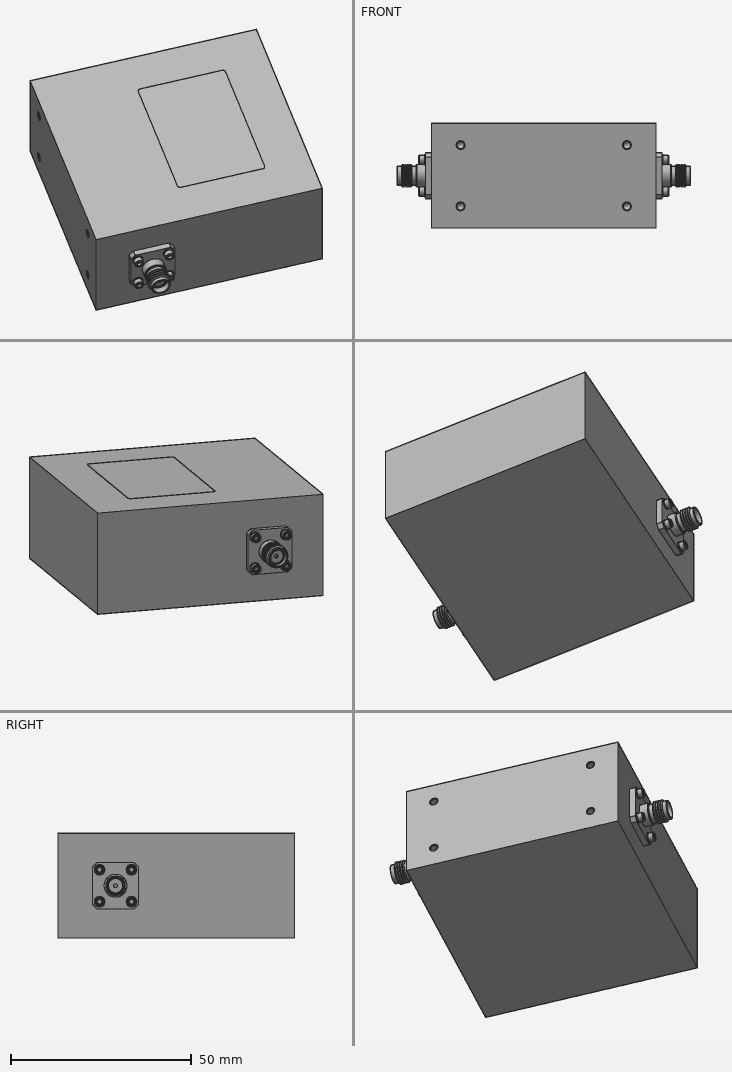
import cadquery as cq
import math

overall_length = 81.15

body_length = 62.2
body_width = 65.5
body_height = 29.05

label_length = 38.5
label_width = 25.2
label_corner_radius = 0.8
label_depth = 0.1
label_center_y = 7.3

mount_spacing_x = 46.0
mount_spacing_z = 17.0
mount_diameter = 2.0
mount_mouth_diameter = 2.4
mount_depth = 4.9
drill_point_angle = 118.0

connector_y = -16.8
flange_size = 12.7
flange_corner = 1.2
flange_thickness = 1.7

screw_spacing = 8.85
screw_head_diameter = 2.5
screw_head_height = 1.9
screw_head_chamfer = 0.25
washer_diameter = 2.9
washer_thickness = 0.25
socket_diameter = 1.3
socket_mouth_diameter = 1.55
socket_mouth_angle = 90.0
socket_depth = 1.0

collar_diameter = 6.3
collar_length = 2.6
collar_chamfer = 0.25
neck_diameter = 5.35
neck_length = 1.05
thread_diameter = 6.3
thread_pitch = 0.7
thread_ridges = 4
thread_crest_width = 0.2
tip_diameter = 5.1
bore_diameter = 4.55
bore_depth = 1.8
inner_bore_diameter = 4.0
inner_bore_depth = 0.3
contact_diameter = 1.05
contact_depth = 0.8

connector_reach = (overall_length - body_length) / 2
barrel_length = connector_reach - flange_thickness
tip_chamfer = (neck_diameter - tip_diameter) / 2


def make_body():
    """Plain block with a shallow rounded label recess."""
    block = cq.Workplane("XY").box(body_length, body_width, body_height)
    label = (
        cq.Workplane("XY", origin=(0, label_center_y, body_height / 2 - label_depth))
        .rect(label_length, label_width)
        .extrude(label_depth)
        .edges("|Z")
        .fillet(label_corner_radius)
    )
    return block.cut(label)


def make_mount_holes():
    """Four drilled holes with a chamfered mouth and a conical bottom."""
    radius = mount_diameter / 2
    mouth_radius = mount_mouth_diameter / 2
    mouth_depth = mouth_radius - radius
    point_depth = radius / math.tan(math.radians(drill_point_angle / 2))
    drill = (
        cq.Workplane("XY")
        .moveTo(0, 0)
        .lineTo(mouth_radius, 0)
        .lineTo(radius, mouth_depth)
        .lineTo(radius, mount_depth)
        .lineTo(0, mount_depth + point_depth)
        .close()
        .revolve(360, (0, 0, 0), (0, 1, 0))
        .val()
    )
    holes = cq.Workplane("XY")
    for side_x in (-1, 1):
        for side_z in (-1, 1):
            place = (side_x * mount_spacing_x / 2, -body_width / 2, side_z * mount_spacing_z / 2)
            holes = holes.add(drill.translate(cq.Vector(*place)))
    return holes.combine()


def make_barrel():
    """Turned barrel along +Z: chamfered collar, neck, ridged thread and stepped bore with a contact hole."""
    neck_radius = neck_diameter / 2
    collar_radius = collar_diameter / 2
    thread_radius = thread_diameter / 2
    flank = (thread_pitch - thread_crest_width) / 2
    bore_ledge = barrel_length - bore_depth
    bore_floor = bore_ledge - inner_bore_depth
    outline = [
        (0, 0),
        (collar_radius, 0),
        (collar_radius, collar_length - collar_chamfer),
        (collar_radius - collar_chamfer, collar_length),
        (neck_radius, collar_length),
    ]
    thread_start = collar_length + neck_length
    for ridge in range(thread_ridges):
        root = thread_start + ridge * thread_pitch
        outline += [
            (neck_radius, root),
            (thread_radius, root + flank),
            (thread_radius, root + flank + thread_crest_width),
        ]
    outline += [
        (neck_radius, thread_start + thread_ridges * thread_pitch),
        (neck_radius, barrel_length - tip_chamfer),
        (tip_diameter / 2, barrel_length),
        (bore_diameter / 2, barrel_length),
        (bore_diameter / 2, bore_ledge),
        (inner_bore_diameter / 2, bore_ledge),
        (inner_bore_diameter / 2, bore_floor),
        (contact_diameter / 2, bore_floor),
        (contact_diameter / 2, bore_floor - contact_depth),
        (0, bore_floor - contact_depth),
    ]
    return cq.Workplane("XZ").polyline(outline).close().revolve(360, (0, 0, 0), (0, 1, 0))


def make_screw():
    """Screw head along +Z on a thin washer, with a chamfered rim and a countersunk socket."""
    washer = cq.Workplane("XY").circle(washer_diameter / 2).extrude(washer_thickness)
    head = (
        cq.Workplane("XY")
        .circle(screw_head_diameter / 2)
        .extrude(screw_head_height)
        .faces(">Z")
        .chamfer(screw_head_chamfer)
        .faces(">Z")
        .workplane()
        .cskHole(socket_diameter, socket_mouth_diameter, socket_mouth_angle, socket_depth)
    )
    return washer.union(head)


def make_connector():
    """Connector along +Z with the outer face of the flange at Z = 0."""
    connector = (
        cq.Workplane("XY", origin=(0, 0, -flange_thickness))
        .rect(flange_size, flange_size)
        .extrude(flange_thickness)
        .edges("|Z")
        .chamfer(flange_corner)
        .union(make_barrel())
    )
    screw = make_screw()
    for side_x in (-1, 1):
        for side_y in (-1, 1):
            place = (side_x * screw_spacing / 2, side_y * screw_spacing / 2, 0)
            connector = connector.union(screw.translate(place))
    return connector


right_connector = (
    make_connector()
    .rotate((0, 0, 0), (0, 1, 0), 90)
    .translate((body_length / 2 + flange_thickness, connector_y, 0))
)
left_connector = right_connector.mirror("YZ")

result = make_body().cut(make_mount_holes()).union(right_connector).union(left_connector)